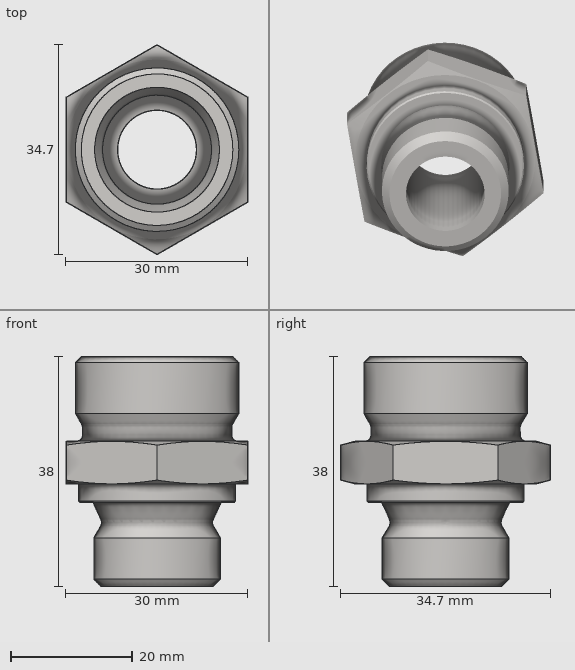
import cadquery as cq
import math

TOTAL_HEIGHT = 38.0
HEX_BOTTOM = 16.95
HEX_TOP = 24.05
COLLAR_BOTTOM = 13.95
LOWER_SHOULDER = 8.05
UPPER_SHOULDER = 28.65

UPPER_RADIUS = 27.0 / 2
UPPER_GROOVE_RADIUS = 24.7 / 2
COLLAR_RADIUS = 26.0 / 2
LOWER_RADIUS = 20.95 / 2
NECK_RADIUS = 18.0 / 2
NECK_TOP_RADIUS = 10.6

SHOULDER_ANGLE = math.radians(30)
NECK_UPPER_ANGLE = math.radians(25)

UPPER_CHAMFER = 1.0
LOWER_CHAMFER = 1.25
COLLAR_CHAMFER = 0.23
HEX_ROOT_FILLET = 0.95
GROOVE_FILLET = 0.95
NECK_FILLET = 1.15

HEX_WIDTH = 30.02
HEX_CHAMFER_RADIUS = 14.85
HEX_CHAMFER_ANGLE = math.radians(15)

THROUGH_RADIUS = 13.0 / 2
SOCKET_RADIUS = 18.0 / 2
SOCKET_DEPTH = 9.95
MOUTH_RADIUS = 20.65 / 2
TAPER_ANGLE = math.radians(12)

NECK_LEVEL = COLLAR_BOTTOM - (NECK_TOP_RADIUS - NECK_RADIUS) / math.tan(NECK_UPPER_ANGLE)
GROOVE_LEVEL = UPPER_SHOULDER - (UPPER_RADIUS - UPPER_GROOVE_RADIUS) / math.tan(SHOULDER_ANGLE)


def round_ring_edge(body, level, radius):
    """Fillet the circular edge lying at the given level."""
    return body.edges(cq.NearestToPointSelector((0, 0, level))).fillet(radius)


def make_turned_body():
    root_arc_center = (UPPER_GROOVE_RADIUS + HEX_ROOT_FILLET, HEX_TOP + HEX_ROOT_FILLET)
    arc_offset = HEX_ROOT_FILLET * math.sqrt(0.5)
    body = (
        cq.Workplane("XZ")
        .lineTo(LOWER_RADIUS - LOWER_CHAMFER, 0)
        .lineTo(LOWER_RADIUS, LOWER_CHAMFER)
        .lineTo(LOWER_RADIUS, LOWER_SHOULDER)
        .lineTo(NECK_RADIUS, NECK_LEVEL)
        .lineTo(NECK_TOP_RADIUS, COLLAR_BOTTOM)
        .lineTo(COLLAR_RADIUS - COLLAR_CHAMFER, COLLAR_BOTTOM)
        .lineTo(COLLAR_RADIUS, COLLAR_BOTTOM + COLLAR_CHAMFER)
        .lineTo(COLLAR_RADIUS, HEX_TOP)
        .lineTo(root_arc_center[0], HEX_TOP)
        .threePointArc(
            (root_arc_center[0] - arc_offset, root_arc_center[1] - arc_offset),
            (UPPER_GROOVE_RADIUS, root_arc_center[1]),
        )
        .lineTo(UPPER_GROOVE_RADIUS, GROOVE_LEVEL)
        .lineTo(UPPER_RADIUS, UPPER_SHOULDER)
        .lineTo(UPPER_RADIUS, TOTAL_HEIGHT - UPPER_CHAMFER)
        .lineTo(UPPER_RADIUS - UPPER_CHAMFER, TOTAL_HEIGHT)
        .lineTo(0, TOTAL_HEIGHT)
        .close()
        .revolve(360, (0, 0, 0), (0, 1, 0))
    )
    body = round_ring_edge(body, NECK_LEVEL, NECK_FILLET)
    return round_ring_edge(body, GROOVE_LEVEL, GROOVE_FILLET)


def make_hexagon():
    """Hexagonal prism whose corners are turned down by a shallow cone at both ends."""
    corner_radius = HEX_WIDTH / 2 / math.cos(math.radians(30))
    corner_drop = (corner_radius - HEX_CHAMFER_RADIUS) * math.tan(HEX_CHAMFER_ANGLE)
    prism = (
        cq.Workplane("XY", origin=(0, 0, HEX_BOTTOM))
        .polygon(6, 2 * corner_radius)
        .extrude(HEX_TOP - HEX_BOTTOM)
        .rotate((0, 0, 0), (0, 0, 1), 30)
    )
    envelope = (
        cq.Workplane("XZ")
        .moveTo(0, HEX_BOTTOM)
        .lineTo(HEX_CHAMFER_RADIUS, HEX_BOTTOM)
        .lineTo(corner_radius, HEX_BOTTOM + corner_drop)
        .lineTo(corner_radius, HEX_TOP - corner_drop)
        .lineTo(HEX_CHAMFER_RADIUS, HEX_TOP)
        .lineTo(0, HEX_TOP)
        .close()
        .revolve(360, (0, 0, 0), (0, 1, 0))
    )
    return prism.intersect(envelope)


def make_bore():
    taper_depth = (MOUTH_RADIUS - SOCKET_RADIUS) / math.tan(TAPER_ANGLE)
    socket_floor = TOTAL_HEIGHT - SOCKET_DEPTH
    return (
        cq.Workplane("XZ")
        .lineTo(THROUGH_RADIUS, 0)
        .lineTo(THROUGH_RADIUS, socket_floor)
        .lineTo(SOCKET_RADIUS, socket_floor)
        .lineTo(SOCKET_RADIUS, TOTAL_HEIGHT - taper_depth)
        .lineTo(MOUTH_RADIUS, TOTAL_HEIGHT)
        .lineTo(0, TOTAL_HEIGHT)
        .close()
        .revolve(360, (0, 0, 0), (0, 1, 0))
    )


result = make_turned_body().union(make_hexagon()).cut(make_bore())